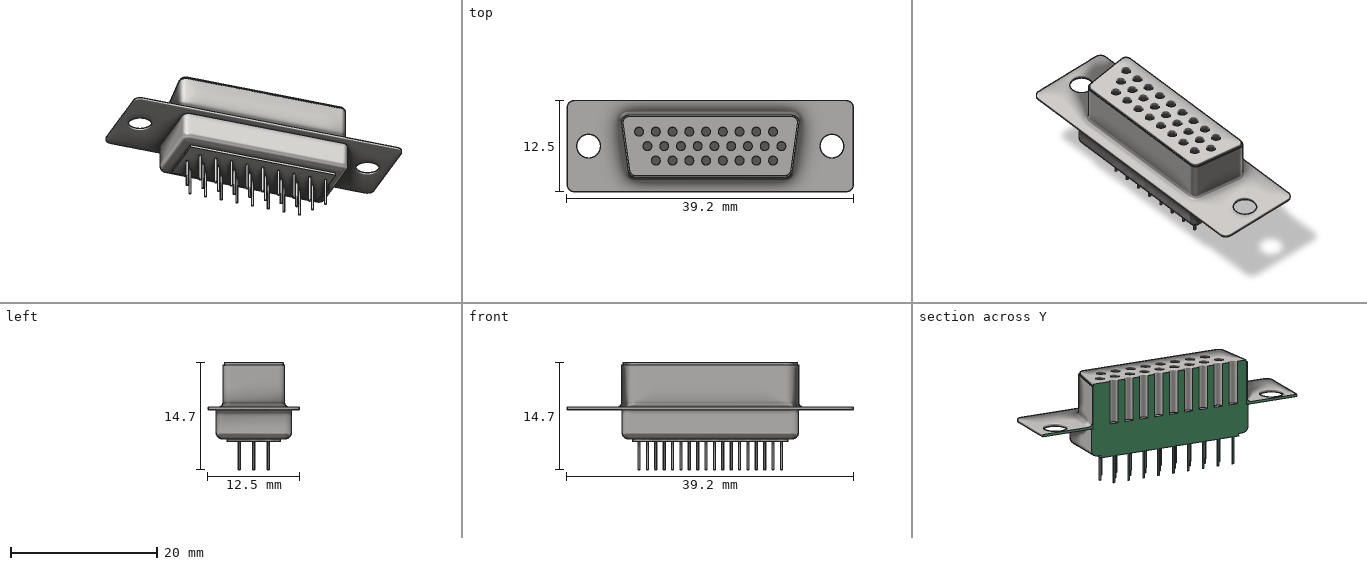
import cadquery as cq
import math

FLANGE_LENGTH = 39.2
FLANGE_WIDTH = 12.5
FLANGE_THICKNESS = 0.4
FLANGE_TOP = 1.25
FLANGE_BOTTOM = FLANGE_TOP - FLANGE_THICKNESS
FLANGE_CORNER_RADIUS = 0.98
MOUNT_HOLE_DIAMETER = 3.2
MOUNT_HOLE_SPACING = 33.32

EDGE_ROUND = 0.098

TOTAL_HEIGHT = 14.7
INSERT_TOP = TOTAL_HEIGHT / 2
PIN_TIP = -TOTAL_HEIGHT / 2
STEP_HEIGHT = 0.35
SHELL_TOP = INSERT_TOP - STEP_HEIGHT
BOX_BOTTOM = -3.15
BASE_BOTTOM = BOX_BOTTOM - STEP_HEIGHT

D_LENGTH = 24.58
D_WIDTH = 8.45
D_SIDE_ANGLE = 8.0
D_CORNER_RADIUS = 0.98
SHELL_WALL = 0.2
ROOT_FILLET = 0.6
ROOT_MARGIN = 0.05

BOX_LENGTH = 24.2
BOX_WIDTH = 10.35
BOX_RADIUS = 0.98
BOX_BOTTOM_FILLET = 0.95
BASE_LENGTH = 21.25
BASE_WIDTH = 7.3

FULL_ROW_COUNT = 9
FULL_ROW_SPAN = 18.35
HALF_PITCH = FULL_ROW_SPAN / (FULL_ROW_COUNT - 1) / 2
OUTER_ROWS_DISTANCE = 3.95
ROW_SPACING = OUTER_ROWS_DISTANCE / 2
CONTACT_ROWS = [(1, FULL_ROW_COUNT, -8.5), (0, FULL_ROW_COUNT, -7.5), (-1, FULL_ROW_COUNT - 1, -6.5)]
SOCKET_DIAMETER = 1.2
SOCKET_DEPTH = INSERT_TOP - FLANGE_TOP
PIN_DIAMETER = 0.3


def d_prism(inset, bottom, top):
    """Rounded D-shaped prism whose walls lie `inset` inside the shell's outer walls."""
    slope = math.tan(math.radians(D_SIDE_ANGLE))
    side_shift = inset / math.cos(math.radians(D_SIDE_ANGLE))
    half_width = D_WIDTH / 2 - inset
    middle_half_length = (D_LENGTH - D_WIDTH * slope) / 2 - side_shift
    long_half = middle_half_length + half_width * slope
    short_half = middle_half_length - half_width * slope
    outline = [
        (-long_half, half_width),
        (long_half, half_width),
        (short_half, -half_width),
        (-short_half, -half_width),
    ]
    return (
        cq.Workplane("XY", origin=(0, 0, bottom))
        .polyline(outline)
        .close()
        .extrude(top - bottom)
        .edges("|Z")
        .fillet(D_CORNER_RADIUS - inset)
    )


def block(length, width, bottom, top):
    """Rectangular block centred on the Z axis."""
    return cq.Workplane("XY", origin=(0, 0, bottom)).rect(length, width).extrude(top - bottom)


def contact_points():
    """Centres of the contacts in the three staggered rows."""
    return [
        ((first_position + 2 * index) * HALF_PITCH, row * ROW_SPACING)
        for row, count, first_position in CONTACT_ROWS
        for index in range(count)
    ]


def make_shell():
    """Metal shell: mounting flange and the D-shaped tube that rises from it."""
    flange = (
        block(FLANGE_LENGTH, FLANGE_WIDTH, FLANGE_BOTTOM, FLANGE_TOP)
        .edges("|Z")
        .fillet(FLANGE_CORNER_RADIUS)
        .faces(">Z")
        .workplane()
        .pushPoints([(-MOUNT_HOLE_SPACING / 2, 0), (MOUNT_HOLE_SPACING / 2, 0)])
        .hole(MOUNT_HOLE_DIAMETER)
        .faces(">Z or <Z")
        .edges()
        .fillet(EDGE_ROUND)
    )
    shell = flange.union(d_prism(0, FLANGE_BOTTOM, SHELL_TOP))
    root_edges = cq.selectors.BoxSelector(
        (-D_LENGTH / 2, -D_WIDTH / 2 - ROOT_MARGIN, FLANGE_TOP - ROOT_MARGIN),
        (D_LENGTH / 2, D_WIDTH / 2 + ROOT_MARGIN, FLANGE_TOP + ROOT_MARGIN),
    )
    shell = shell.edges(root_edges).fillet(ROOT_FILLET)
    return shell.cut(d_prism(SHELL_WALL, FLANGE_BOTTOM, SHELL_TOP))


def make_insulator():
    """Insulator: D-shaped insert with sockets, rear box, base plate and solder pins."""
    box = (
        block(BOX_LENGTH, BOX_WIDTH, BOX_BOTTOM, FLANGE_BOTTOM)
        .edges("|Z")
        .fillet(BOX_RADIUS)
        .faces("<Z")
        .edges()
        .fillet(BOX_BOTTOM_FILLET)
    )
    insert = (
        d_prism(SHELL_WALL, FLANGE_BOTTOM, INSERT_TOP)
        .faces(">Z")
        .workplane(origin=(0, 0, INSERT_TOP))
        .pushPoints(contact_points())
        .hole(SOCKET_DIAMETER, SOCKET_DEPTH)
        .faces(">Z")
        .edges()
        .fillet(EDGE_ROUND)
    )
    base = block(BASE_LENGTH, BASE_WIDTH, BASE_BOTTOM, BOX_BOTTOM)
    pins = (
        cq.Workplane("XY", origin=(0, 0, BASE_BOTTOM))
        .pushPoints(contact_points())
        .circle(PIN_DIAMETER / 2)
        .extrude(PIN_TIP - BASE_BOTTOM)
        .faces("<Z")
        .edges()
        .fillet(EDGE_ROUND)
    )
    return box.union(insert).union(base).union(pins)


shell = make_shell()
insulator = make_insulator()
result = cq.Compound.makeCompound([shell.val(), insulator.val()])